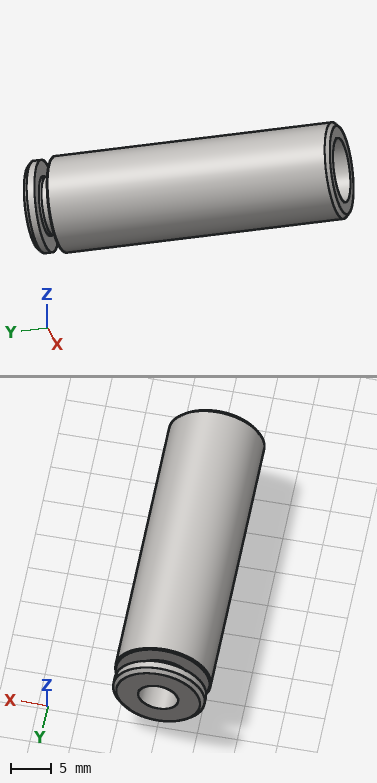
import cadquery as cq
import math

length = 39.1
body_diameter = 12.0
body_radius = body_diameter / 2
y_front = -length / 2
y_back = length / 2

front_chamfer = 0.5
shoulder_chamfer = 0.15

collar_radius = 5.75
collar_length = 1.5
collar_chamfer = 0.5
neck_radius = 3.6
neck_gap = 1.6
neck_flare_length = 0.3
neck_flare_height = 0.1

socket_radius = 4.0
hole_radius = 2.5
cone_angle = 118
cone_length = (socket_radius - hole_radius) / math.tan(math.radians(cone_angle / 2))
socket_depth = 18.0

y_collar = y_back - collar_length
y_shoulder = y_collar - neck_gap
y_socket_end = y_front + socket_depth


def turned_profile():
    """Half section with X as radius and Y along the axis."""
    return (
        cq.Workplane("XY")
        .moveTo(socket_radius, y_front)
        .lineTo(body_radius - front_chamfer, y_front)
        .lineTo(body_radius, y_front + front_chamfer)
        .lineTo(body_radius, y_shoulder - shoulder_chamfer)
        .lineTo(body_radius - shoulder_chamfer, y_shoulder)
        .lineTo(neck_radius, y_shoulder)
        .lineTo(neck_radius, y_collar - neck_flare_length)
        .lineTo(neck_radius + neck_flare_height, y_collar)
        .lineTo(collar_radius, y_collar)
        .lineTo(collar_radius, y_back - collar_chamfer)
        .lineTo(collar_radius - collar_chamfer, y_back)
        .lineTo(hole_radius, y_back)
        .lineTo(hole_radius, y_socket_end + cone_length)
        .lineTo(socket_radius, y_socket_end)
        .close()
    )


result = turned_profile().revolve(360, (0, 0, 0), (0, 1, 0))